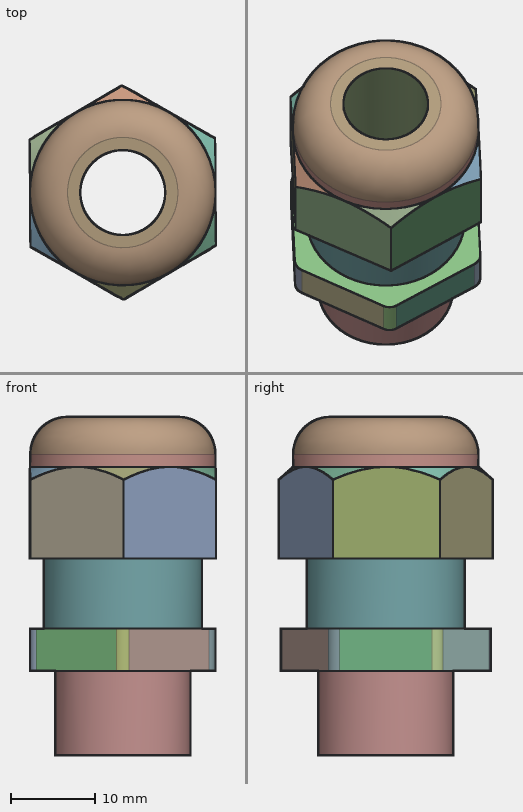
import cadquery as cq
import math

total_height = 40.15
thread_height = 10.05
lower_hex_height = 4.98
body_height = 8.3
nut_height = 10.9
collar_height = 1.5
dome_height = (
    total_height - thread_height - lower_hex_height - body_height - nut_height - collar_height
)

across_flats = 22.0
across_corners = across_flats / math.cos(math.radians(30))
thread_diameter = 16.05
body_diameter = 18.8
bore_diameter = 10.05

lower_hex_corner_radius = 1.53
nut_corner_drop = 1.53
nut_turn = 0.5

lower_hex_base = thread_height
body_base = lower_hex_base + lower_hex_height
nut_base = body_base + body_height
nut_top = nut_base + nut_height


def cylinder(diameter, base, height):
    return cq.Workplane("XY").workplane(offset=base).circle(diameter / 2).extrude(height)


def hexagon(base, height, turn=0):
    """Hexagonal prism with two corners on the Y axis, before turning about Z."""
    prism = cq.Workplane("XY").workplane(offset=base).polygon(6, across_corners).extrude(height)
    return prism.rotate((0, 0, 0), (0, 0, 1), 30 + turn)


def chamfered_nut():
    """Hexagon whose upper corners are trimmed by a cone meeting the middle of each flat."""
    flat_radius = across_flats / 2
    corner_radius = across_corners / 2
    envelope = (
        cq.Workplane("XZ")
        .moveTo(0, nut_base)
        .lineTo(corner_radius, nut_base)
        .lineTo(corner_radius, nut_top - nut_corner_drop)
        .lineTo(flat_radius, nut_top)
        .lineTo(0, nut_top)
        .close()
        .revolve(360, (0, 0, 0), (0, 1, 0))
    )
    return hexagon(nut_base, nut_height, nut_turn).intersect(envelope)


def domed_cap():
    """Short round collar with a fully rounded shoulder above it."""
    cap = cylinder(across_flats, nut_top, collar_height + dome_height)
    return cap.faces(">Z").edges().fillet(dome_height)


thread = cylinder(thread_diameter, 0, thread_height)
lower_hex = hexagon(lower_hex_base, lower_hex_height).edges("|Z").fillet(lower_hex_corner_radius)
body = cylinder(body_diameter, body_base, body_height)
bore = cylinder(bore_diameter, 0, total_height)

result = thread.union(lower_hex).union(body).union(chamfered_nut()).union(domed_cap()).cut(bore)